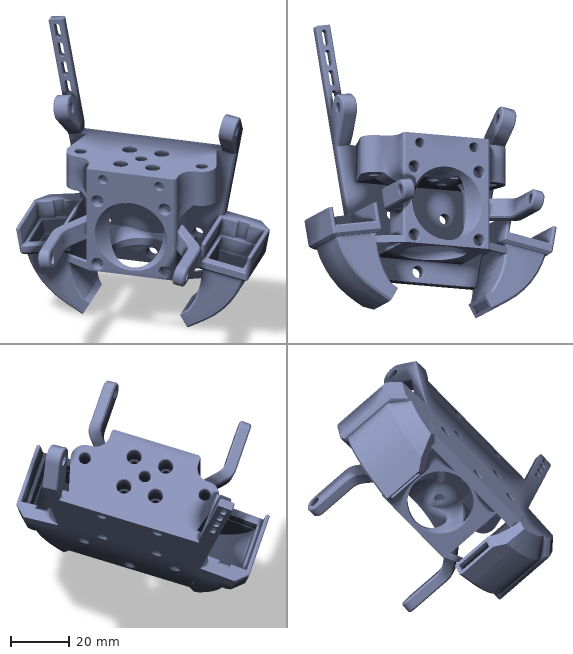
import cadquery as cq
import math


lean = 10.0
far = 151.2

plate_thickness = 4.0
plate_half_top = 30.1
plate_bottom = -46.4
plate_edge_chamfer = 0.6

strip_width = 5.3
ear_y = -10.0
ear_z = 11.5
ear_radius = 4.5
ear_hole_diameter = 3.7
ear_chamfer = 0.4
ear_inner_x = 25.3
rail_thickness = 2.9
rail_top = 41.8
rail_edge_chamfer = 0.4
slot_length = 5.5
slot_width = 2.0
slot_pitch = 7.2
slot_count = 4
top_slot_z = 37.5

shelf_thickness = 13.0
hot_end_y = -17.39
lobe_x = 21.7
lobe_radius = 4.9
shelf_fillet = 5.1
shelf_root_x = 23.2

block_half_width = 16.0
block_front = -30.5
block_back = -17.2
block_bottom = -38.7
block_front_chamfer = 0.6
block_back_chamfer = 0.8
flare = 3.9

fan_z = -23.9
fan_radius = 12.9
fan_end_half_width = 7.3
fan_end_half_height = 10.6
heatsink_diameter = 22.8

floor_top = -33.6
dish_radius = 15.4
dish_bottom = -36.1

fan_screw_offset = 12.0
fan_screw_diameter = 4.0
fan_screw_depth = 6.0
screw_circle_radius = 8.1
screw_diameter = 3.4
screw_head_diameter = 5.0
screw_head_depth = 9.1
filament_diameter = 4.0
lobe_hole_diameter = 4.0
mouth_chamfer = 0.25
shelf_hole = (10.03, -3.3, 3.4)
plate_holes = [(9.8, -23.2, 3.7), (16.4, -32.7, 3.8)]
bottom_hole_z = -42.6
bottom_hole_diameter = 4.0

arm_x = 24.0
arm_tip_y = -52.3
arm_tip_z = -25.3
arm_bend_y = -35.7
arm_root_x = 14.6
arm_root_y = -24.6
arm_width = 4.1
arm_radius = 3.5
arm_hole_diameter = 3.8
arm_chamfer = 0.5
arm_bend_radius = 7.1

socket_outer = 16.7
socket_inner = -1.4
socket_front = -27.2
socket_top = -25.3
socket_bottom = -34.6
socket_floor = -31.8
socket_wall = 1.4
socket_back_wall = 5.4
socket_corner = 3.9
socket_chamfer = 0.5
socket_rim_chamfer = 0.3
socket_skirt = 1.1
notch_start = 5.5
notch_width = 4.0
notch_depth = 1.3
floor_ledge = 1.3

duct_front = -25.6
duct_wall = 1.3
duct_outer_start = (39.0, -37.1)
duct_tail = 7.1
duct_tip_low = (18.9, -58.73)
duct_tip_high = (16.1, -54.0)
duct_inner_end = (18.0, -52.8)
duct_inner_middle = (21.3, -47.4)
duct_inner_start = (23.7, -33.5)
duct_edge_chamfer = 0.7
duct_back_chamfer = 6.5
duct_back_chamfer_in = 5.2
tip_taper_length = 8.7
tip_taper_depth = 10.1

strut_top = -36.2
strut_outer = (24.2, -25.8)
strut_width = 1.2


def lean_out(body):
    """Tilt a body from the leaning frame into place on the right side."""
    return body.rotate((0, 0, 0), (0, 1, 0), lean).translate((plate_half_top, 0, 0))


def both_sides(body):
    return body.union(body.mirror("YZ"))


def box_between(x, y, z):
    """Box spanning three (low, high) ranges."""
    size = (x[1] - x[0], y[1] - y[0], z[1] - z[0])
    return cq.Workplane("XY").box(*size, centered=False).translate((x[0], y[0], z[0]))


def drill(plane, origin, diameter, depth, mouth=0.0):
    """Cylinder sunk into a face at the origin, with a chamfered mouth if one is given."""
    radius = diameter / 2
    hole = cq.Workplane(plane, origin=origin).circle(radius).extrude(-depth)
    if mouth:
        cone = cq.Solid.makeCone(
            radius + mouth, radius, mouth, cq.Vector(*origin), -cq.Plane.named(plane).zDir
        )
        hole = hole.union(cq.Workplane(obj=cone))
    return hole


def make_plate():
    half_bottom = plate_half_top + plate_bottom * math.tan(math.radians(lean))
    outline = [
        (-plate_half_top, 0),
        (plate_half_top, 0),
        (half_bottom, plate_bottom),
        (-half_bottom, plate_bottom),
    ]
    plate = cq.Workplane("XZ").polyline(outline).close().extrude(plate_thickness)
    return plate.faces("<Y").edges("not #Z").edges("not |X").chamfer(plate_edge_chamfer)


def make_ear():
    """Round lug on a 45 degree neck that grows out of the plate's side."""
    reach = ear_radius / math.sqrt(2)
    upper_y, upper_z = ear_y + reach, ear_z + reach
    lower_y, lower_z = ear_y - reach, ear_z - reach
    neck_front = -plate_thickness
    ear = (
        cq.Workplane("YZ")
        .moveTo(0, -1)
        .lineTo(0, upper_z + upper_y)
        .lineTo(upper_y, upper_z)
        .threePointArc((lower_y, upper_z), (lower_y, lower_z))
        .lineTo(neck_front, lower_z + lower_y - neck_front)
        .lineTo(neck_front, -1)
        .close()
        .extrude(-strip_width)
        .edges("%CIRCLE")
        .chamfer(ear_chamfer)
    )
    hole = (
        cq.Workplane("YZ", origin=(-far / 2, ear_y, ear_z))
        .circle(ear_hole_diameter / 2)
        .extrude(far)
    )
    return ear.cut(hole)


def make_rail():
    """Slotted strip above the ear."""
    rail = box_between((-strip_width, 0), (-rail_thickness, 0), (0, rail_top))
    rail = rail.edges("<Y and |Z or >Z and |Y").chamfer(rail_edge_chamfer)
    slots = (
        cq.Workplane("XZ", origin=(-strip_width / 2, 1, top_slot_z))
        .pushPoints([(0, -i * slot_pitch) for i in range(slot_count)])
        .slot2D(slot_length, slot_width, 90)
        .extrude(far)
    )
    return rail.cut(slots)


def make_shelf():
    """Shelf with round screw lobes that fillet into the block."""
    lobe_front = hot_end_y - lobe_radius
    inner_front = block_front + block_front_chamfer
    corner = shelf_fillet * (1 - math.sqrt(0.5))
    dx = lobe_x - shelf_root_x
    dy = hot_end_y + plate_thickness
    side_angle = math.atan2(-dy, -dx) - math.acos(lobe_radius / math.hypot(dx, dy))
    tangent = (
        lobe_x + lobe_radius * math.cos(side_angle),
        hot_end_y + lobe_radius * math.sin(side_angle),
    )
    half = (
        cq.Workplane("XY")
        .moveTo(0, 0)
        .lineTo(shelf_root_x, 0)
        .lineTo(shelf_root_x, -plate_thickness)
        .lineTo(*tangent)
        .threePointArc(
            (lobe_x + lobe_radius * math.sqrt(0.5), hot_end_y - lobe_radius * math.sqrt(0.5)),
            (lobe_x, lobe_front),
        )
        .lineTo(block_half_width + shelf_fillet, lobe_front)
        .threePointArc(
            (block_half_width + corner, lobe_front - corner),
            (block_half_width, lobe_front - shelf_fillet),
        )
        .lineTo(block_half_width, inner_front)
        .lineTo(0, inner_front)
        .close()
    )
    full_depth = half.extrude(-shelf_thickness - flare)
    support = (
        cq.Workplane("XY", origin=(0, 0, -shelf_thickness - flare))
        .rect(2 * block_half_width, 2 * (block_back - block_front))
        .workplane(offset=flare)
        .rect(2 * (block_half_width + flare), 2 * (block_back - block_front + flare))
        .loft(ruled=True)
        .translate((0, block_front, 0))
        .union(box_between((-far, far), (-far, far), (-shelf_thickness, 0)))
    )
    return both_sides(full_depth.intersect(support))


def make_block():
    block = box_between(
        (-block_half_width, block_half_width),
        (block_front, block_back),
        (block_bottom, 0),
    )
    block = block.edges("|Z and <Y").chamfer(block_front_chamfer)
    block = block.edges("|Z and >Y").chamfer(block_back_chamfer)
    floor = box_between(
        (-block_half_width, block_half_width),
        (block_back - block_back_chamfer, 0),
        (block_bottom, floor_top),
    )
    return block.union(floor)


def cut_fan_opening(body):
    """Opening that narrows from the fan face into the round heatsink well."""
    depth = block_back - block_front
    opening = (
        cq.Workplane("XZ", origin=(0, block_front, fan_z))
        .circle(fan_radius)
        .workplane(offset=-depth)
        .ellipse(fan_end_half_width, fan_end_half_height)
        .loft()
    )
    well_radius = heatsink_diameter / 2
    well = (
        cq.Workplane("XY", origin=(0, hot_end_y, -shelf_thickness))
        .circle(well_radius)
        .extrude(2 * block_bottom)
    )
    dish = cq.Workplane(obj=cq.Solid.makeCone(
        well_radius, dish_radius, floor_top - dish_bottom, cq.Vector(0, hot_end_y, dish_bottom)
    ))
    behind_block = box_between((-far, far), (block_back, -plate_thickness), (-far, 0))
    return body.cut(opening).cut(well).cut(dish.intersect(behind_block))


def cut_holes(body):
    holes = [drill("XZ", (0, -plate_thickness, bottom_hole_z), bottom_hole_diameter, far, mouth_chamfer)]
    for side in (-1, 1):
        x, z, diameter = shelf_hole
        holes.append(drill("XZ", (side * x, block_front, z), diameter, far))
        for x, z, diameter in plate_holes:
            holes.append(drill("XZ", (side * x, -plate_thickness, z), diameter, far))
        for z in (fan_z - fan_screw_offset, fan_z + fan_screw_offset):
            origin = (side * fan_screw_offset, block_front, z)
            holes.append(drill("XZ", origin, fan_screw_diameter, fan_screw_depth, mouth_chamfer))

    holes.append(drill("XY", (0, hot_end_y, 0), filament_diameter, far, mouth_chamfer))
    screw_offset = screw_circle_radius * math.sqrt(0.5)
    for side in (-1, 1):
        lobe = (side * lobe_x, hot_end_y, 0)
        holes.append(drill("XY", lobe, lobe_hole_diameter, shelf_thickness, mouth_chamfer))
        for y in (hot_end_y - screw_offset, hot_end_y + screw_offset):
            origin = (side * screw_offset, y, 0)
            holes.append(drill("XY", origin, screw_diameter, far))
            holes.append(drill("XY", origin, screw_head_diameter, screw_head_depth, mouth_chamfer))
    for hole in holes:
        body = body.cut(hole)
    return body


def make_arm():
    """Cranked arm: a bent bar in plan with a rounded, drilled tip at the frame's origin."""
    root_x = arm_root_x - arm_x
    root_y = arm_root_y - arm_tip_y
    bend_y = arm_bend_y - arm_tip_y
    half = arm_width / 2
    angle = math.atan2(-root_x, root_y - bend_y)
    miter = half * math.tan(angle / 2)
    side_x = half * math.cos(angle)
    side_y = half * math.sin(angle)
    bar = (
        cq.Workplane("XY", origin=(0, 0, -arm_radius))
        .polyline([
            (half, -arm_radius),
            (half, bend_y + miter),
            (root_x + side_x, root_y + side_y),
            (root_x - side_x, root_y - side_y),
            (-half, bend_y - miter),
            (-half, -arm_radius),
        ])
        .close()
        .extrude(2 * arm_radius)
    )
    at_bend = cq.selectors.BoxSelector(
        (-arm_width, bend_y - half, -far), (arm_width, bend_y + half, far)
    )
    bar = bar.edges("|Z").edges(at_bend).fillet(arm_bend_radius)
    rounded_tip = (
        cq.Workplane("YZ", origin=(-far / 2, 0, 0))
        .moveTo(far, arm_radius)
        .lineTo(0, arm_radius)
        .threePointArc((-arm_radius, 0), (0, -arm_radius))
        .lineTo(far, -arm_radius)
        .close()
        .extrude(far)
    )
    ahead_of_root = cq.selectors.BoxSelector((-far, -far, -far), (far, root_y - half, far))
    bar = bar.intersect(rounded_tip)
    bar = bar.edges("not (|X or |Z)").edges(ahead_of_root).chamfer(arm_chamfer)
    hole = cq.Workplane("YZ", origin=(-far / 2, 0, 0)).circle(arm_hole_diameter / 2).extrude(far)
    return (
        bar.cut(hole)
        .rotate((0, 0, 0), (0, 1, 0), lean)
        .translate((arm_x, arm_tip_y, arm_tip_z))
    )


def make_socket():
    """Open-fronted tray that takes the blower outlet."""
    socket = box_between(
        (socket_inner, socket_outer), (socket_front, 0), (socket_bottom - socket_skirt, socket_top)
    )
    socket = socket.edges("|Z and >X and >Y").chamfer(socket_corner)
    socket = socket.faces("<Z").edges("not >Y").chamfer(socket_skirt)
    inside_x = (0, socket_outer - socket_wall)
    inside_y = (socket_front + socket_wall, -socket_back_wall)
    tray = box_between(inside_x, inside_y, (socket_floor, 0))
    front_gap = box_between(inside_x, (socket_front - 1, -socket_back_wall), (socket_floor, 0))
    notch = box_between(
        (notch_start, notch_start + notch_width),
        (-socket_back_wall, notch_depth - socket_back_wall),
        (socket_floor, 0),
    )
    socket = socket.cut(tray).cut(front_gap).cut(notch)
    socket = socket.faces("<Y").edges("not <Z").chamfer(socket_chamfer)
    return socket.faces(">Z").edges("not (>Y or <X)").chamfer(socket_rim_chamfer)


def make_socket_throat():
    """Opening in the socket floor that feeds the duct."""
    return box_between(
        (floor_ledge, socket_outer - socket_wall - floor_ledge),
        (socket_front + socket_wall + floor_ledge, -socket_back_wall - floor_ledge),
        (socket_bottom - 2 * socket_skirt, 0),
    )


mouth_dx = duct_tip_high[0] - duct_tip_low[0]
mouth_dz = duct_tip_high[1] - duct_tip_low[1]
flow_x = -mouth_dz / math.hypot(mouth_dx, mouth_dz)
flow_z = mouth_dx / math.hypot(mouth_dx, mouth_dz)


def duct_outline(overrun=0.0):
    """Front outline of the duct, optionally run on past both of its open ends."""
    tail_start = (duct_tip_low[0] - duct_tail * flow_x, duct_tip_low[1] - duct_tail * flow_z)
    outline = (
        cq.Workplane("XZ")
        .moveTo(duct_tip_low[0] + overrun * flow_x, duct_tip_low[1] + overrun * flow_z)
        .lineTo(*tail_start)
        .tangentArcPoint(duct_outer_start, relative=False)
    )
    if overrun:
        outline = outline.line(0, overrun)
        outline = outline.lineTo(duct_inner_start[0], duct_inner_start[1] + overrun)
    outline = outline.lineTo(*duct_inner_start)
    outline = outline.threePointArc(duct_inner_middle, duct_inner_end).lineTo(*duct_tip_high)
    if overrun:
        outline = outline.line(overrun * flow_x, overrun * flow_z)
    return outline.close()


def make_duct():
    """Curved nozzle that turns the air from the socket inward and down."""
    duct = duct_outline().extrude(-duct_front)
    outer_back = duct.faces(">Y").edges("%CIRCLE").edges(">X")
    duct = outer_back.chamfer(duct_back_chamfer, duct_back_chamfer_in)
    duct = duct.faces("<Y").edges("%CIRCLE").chamfer(duct_edge_chamfer)
    return duct.cut(make_tip_taper())


def make_tip_taper():
    """Wedge behind the tip; its slope brings the back of the duct forward toward the mouth."""
    slope = tip_taper_depth / tip_taper_length
    overrun = 2 * duct_wall
    along_flow = cq.Plane(
        origin=(duct_tip_low[0], 0, duct_tip_low[1]),
        xDir=(-flow_x, 0, -flow_z),
        normal=(mouth_dx, 0, mouth_dz),
    )
    return (
        cq.Workplane(along_flow)
        .polyline([
            (-overrun, -tip_taper_depth - slope * overrun),
            (tip_taper_length, 0),
            (-overrun, 0),
        ])
        .close()
        .extrude(far, both=True)
    )


def make_duct_passage():
    """Inside of the nozzle, running from the socket floor out through the tip."""
    back = duct_back_chamfer + duct_wall
    passage = duct_outline(2 * duct_wall).offset2D(-duct_wall)
    passage = passage.extrude(-duct_front - duct_wall - back).translate((0, -back, 0))
    return passage.cut(make_tip_taper().translate((0, -duct_wall, 0)))


def make_strut():
    """Thin slanted web from the block's front corner to the duct."""
    x, y = strut_outer
    start_y = block_front + block_front_chamfer
    return (
        cq.Workplane("XY", origin=(0, 0, strut_top))
        .polyline([
            (block_half_width - 1, start_y),
            (block_half_width, start_y),
            (x, y),
            (x, y + strut_width),
            (block_half_width - 1, start_y + strut_width),
        ])
        .close()
        .extrude(block_bottom - strut_top)
    )


ears = both_sides(lean_out(make_ear()))
above_shelf = box_between((-ear_inner_x, ear_inner_x), (-far, 1), (0, far))

rail = lean_out(make_rail()).mirror("YZ")
frame = make_plate().union(ears).union(rail).cut(above_shelf)

core = make_shelf().union(make_block())
body = frame.union(core).union(both_sides(make_arm()))
body = cut_holes(cut_fan_opening(body))

nozzle = make_duct().union(lean_out(make_socket())).union(make_strut())
nozzle = nozzle.cut(lean_out(make_socket_throat())).cut(make_duct_passage())
result = body.union(both_sides(nozzle))